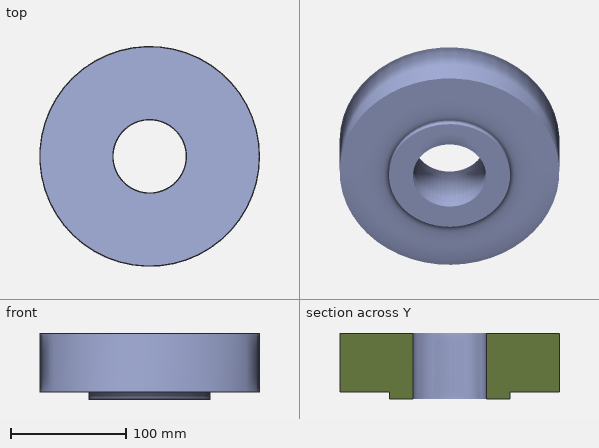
import cadquery as cq

outer_diameter = 190.5
total_height = 57.1
raised_face_diameter = 105.0
raised_face_height = 6.3
bore_diameter = 63.5

disc_height = total_height - raised_face_height

raised_face = cq.Workplane("XY").circle(raised_face_diameter / 2).extrude(raised_face_height)
disc = (
    cq.Workplane("XY")
    .workplane(offset=raised_face_height)
    .circle(outer_diameter / 2)
    .extrude(disc_height)
)

bore = cq.Workplane("XY").circle(bore_diameter / 2).extrude(total_height)

result = raised_face.union(disc).cut(bore)